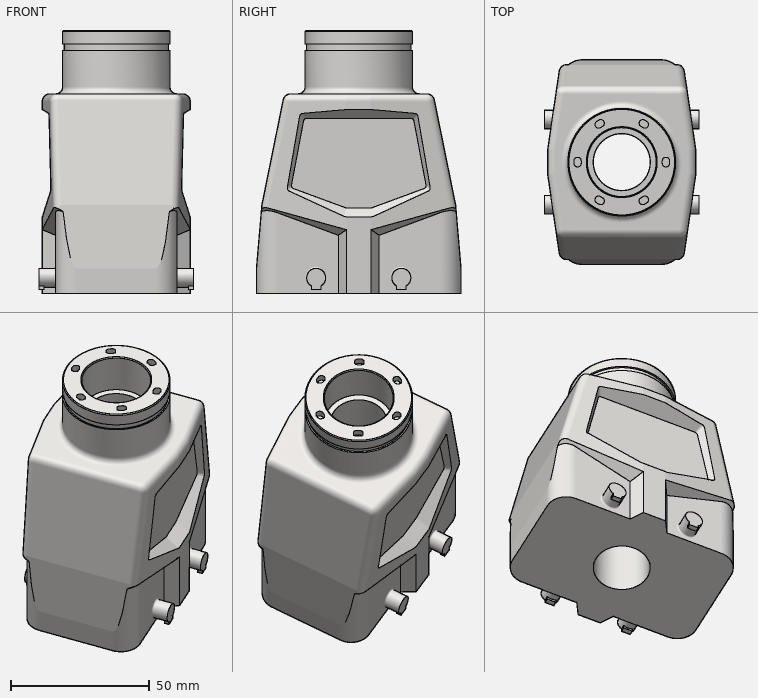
import cadquery as cq
import math

height = 95.0
base_length = 74.0
pin_span = 56.0
shoulder_z = 72.2

half_length = base_length / 2
upright_top_z = 9.0
knee_z = 31.9
knee_y = 35.1
shoulder_y = 26.9
upper_lean = (knee_y - shoulder_y) / (shoulder_z - knee_z)

ridge_x = 26.8
ridge_half_width = 4.5
flank_end_x = 22.3
flank_slope = (ridge_x - flank_end_x) / (knee_y - ridge_half_width)
shell_fillet = 2.85

core_x = 21.9
core_corner_radius = 7.6

draft_angle = 31.0
draft = math.tan(math.radians(draft_angle))
panel_root_x = core_x - core_corner_radius
ledge_slope = 0.37
ledge_angle = math.atan(ledge_slope)
ledge_root_z = 18.3
ledge_drop = (core_x - panel_root_x) * draft / math.cos(ledge_angle)
rib_root_half_width = ridge_half_width + (ridge_x - panel_root_x) * draft

window_depth = 5.3
window_top_z = 66.5
window_top_half_width = 22.4
window_corner_z = 36.2
window_corner_half_width = 28.1
window_bottom_z = 27.7
window_bottom_half_width = 5.1
window_corner_radius = 1.4

neck_radius = 19.5
neck_fillet = 2.4
rim_chamfer = 0.4
groove_radius = 18.9
groove_bottom_z = 87.9
groove_top_z = 90.2
bore_radius = 10.3
counterbore_radius = 12.4
counterbore_depth = 15.4

slot_count = 6
slot_circle_radius = 16.0
slot_length = 3.5
slot_width = 2.7
slot_depth = 2.85

pin_y = 15.4
pin_z = 5.7
pin_radius = 3.4
pin_end_x = pin_span / 2
pin_root_fillet = 0.5
pin_foot_depth = 1.9
lug_thickness = 1.8
lug_bottom_z = 1.4
lug_width = 3.5

spare = 19.0
overcut = 0.95


def mirror_x(solid):
    return solid.union(solid.mirror("YZ"))


def drafted_prism(points):
    """Prism that narrows outwards from the panel root and ends just past the ridge."""
    base = cq.Workplane("YZ").workplane(offset=panel_root_x).polyline(points).close()
    return base.extrude(ridge_x - panel_root_x + overcut, taper=draft_angle)


def end_outline():
    """Block bounded by the end faces, which have two bends."""
    right_side = [
        (half_length, 0),
        (half_length, upright_top_z),
        (knee_y, knee_z),
        (shoulder_y, shoulder_z),
    ]
    left_side = [(-y, z) for y, z in reversed(right_side)]
    return cq.Workplane("YZ").polyline(right_side + left_side).close().extrude(pin_span / 2, both=True)


def upper_shell():
    """Six-sided shell with leaning ends; its lower part is trimmed by the panels."""
    foot_y = shoulder_y + upper_lean * shoulder_z
    foot_x = ridge_x - flank_slope * (foot_y - ridge_half_width)
    plan = [
        (ridge_x, -ridge_half_width),
        (ridge_x, ridge_half_width),
        (foot_x, foot_y),
        (-foot_x, foot_y),
        (-ridge_x, ridge_half_width),
        (-ridge_x, -ridge_half_width),
        (-foot_x, -foot_y),
        (foot_x, -foot_y),
    ]
    shell = cq.Workplane("XY").polyline(plan).close().extrude(shoulder_z)
    ends = [
        (foot_y, 0),
        (shoulder_y, shoulder_z),
        (-shoulder_y, shoulder_z),
        (-foot_y, 0),
    ]
    shell = shell.intersect(cq.Workplane("YZ").polyline(ends).close().extrude(ridge_x, both=True))
    lean_edges = shell.edges("not(#Z or |Z)")
    return lean_edges.add(shell.faces(">Z").edges()).fillet(shell_fillet)


def panel_zone():
    """Space above the drafted ledges, plus the rib that runs down to the base."""
    reach_y = half_length + spare

    def ledge_z(y):
        return ledge_root_z - ledge_drop + ledge_slope * y

    ledge = [
        (0, ledge_z(0)),
        (reach_y, ledge_z(reach_y)),
        (reach_y, shoulder_z + spare),
        (-reach_y, shoulder_z + spare),
        (-reach_y, ledge_z(reach_y)),
    ]
    rib = [
        (rib_root_half_width, -spare),
        (rib_root_half_width, shoulder_z),
        (-rib_root_half_width, shoulder_z),
        (-rib_root_half_width, -spare),
    ]
    panel = drafted_prism(ledge).union(drafted_prism(rib))
    middle = cq.Workplane("XY").box(2 * panel_root_x, 2 * reach_y, shoulder_z, centered=(True, True, False))
    return mirror_x(panel).union(middle)


def lower_core():
    core = cq.Workplane("XY").rect(2 * core_x, base_length).extrude(knee_z)
    return core.edges("|Z").fillet(core_corner_radius)


def windows():
    """Drafted recesses that narrow towards their floor, with rounded outer corners."""
    right_side = [
        (window_bottom_half_width, window_bottom_z),
        (window_corner_half_width, window_corner_z),
        (window_top_half_width, window_top_z),
    ]
    left_side = [(-y, z) for y, z in reversed(right_side)]
    mouth = cq.Workplane("YZ").workplane(offset=ridge_x).polyline(right_side + left_side).close()
    recess = mouth.extrude(-window_depth, taper=draft_angle)

    def is_outer(edge):
        return abs(edge.Center().y) > window_top_half_width / 2

    outer_corners = recess.edges("not(#X)").filter(is_outer)
    return mirror_x(outer_corners.fillet(window_corner_radius))


def neck():
    body = cq.Workplane("XY").workplane(offset=shoulder_z).circle(neck_radius).extrude(height - shoulder_z)
    return body.faces(">Z").edges().chamfer(rim_chamfer)


def groove():
    base = cq.Workplane("XY").workplane(offset=groove_bottom_z)
    return base.circle(neck_radius + overcut).circle(groove_radius).extrude(groove_top_z - groove_bottom_z)


def rim_slots():
    slot = cq.Workplane("XY").workplane(offset=height - slot_depth)
    slot = slot.center(slot_circle_radius, 0).slot2D(slot_length, slot_width, 90).extrude(slot_depth)
    slots = cq.Workplane("XY")
    for i in range(slot_count):
        slots = slots.union(slot.rotate((0, 0, 0), (0, 0, 1), i * 360 / slot_count))
    return slots


def bore():
    """Through hole, wider in the neck, with a chamfered mouth."""
    hole = cq.Workplane("XY").circle(bore_radius).extrude(height)
    wide = cq.Workplane("XY").workplane(offset=height - counterbore_depth).circle(counterbore_radius)
    mouth = cq.Solid.makeCone(
        counterbore_radius,
        counterbore_radius + rim_chamfer,
        rim_chamfer,
        pnt=cq.Vector(0, 0, height - rim_chamfer),
    )
    return hole.union(wide.extrude(counterbore_depth)).union(cq.Workplane(mouth))


def pin():
    """Round pin with a fillet at its root and a small lug under its tip; its foot is buried in the core."""
    foot_side = 2 * pin_z
    foot = cq.Workplane("YZ").workplane(offset=core_x).center(pin_y, pin_z)
    foot_plate = foot.rect(foot_side, foot_side).extrude(-pin_foot_depth)
    shaft = foot.circle(pin_radius).extrude(pin_end_x - core_x)
    root = foot_plate.union(shaft).edges("%CIRCLE").edges("<X")
    lug = (
        cq.Workplane("XY")
        .workplane(offset=lug_bottom_z)
        .center(pin_end_x - lug_thickness / 2, pin_y)
        .rect(lug_thickness, lug_width)
        .extrude(pin_z - lug_bottom_z)
    )
    return root.fillet(pin_root_fillet).union(lug)


def is_neck_root(edge):
    return edge.geomType() == "CIRCLE" and abs(edge.Center().z - shoulder_z) < neck_fillet / 2


body = upper_shell().intersect(panel_zone()).union(lower_core()).intersect(end_outline())
body = body.cut(windows()).union(neck())
body = body.edges().filter(is_neck_root).fillet(neck_fillet)
body = body.cut(groove()).cut(rim_slots()).cut(bore())
side_pins = pin().union(pin().mirror("XZ"))
result = body.union(mirror_x(side_pins))